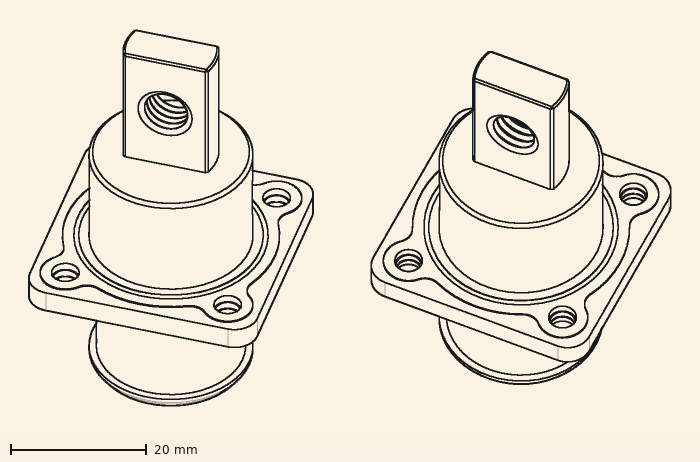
import cadquery as cq
import math

TOLERANCE = 0.005

TOTAL_HEIGHT = 60.1
BEAD_HEIGHT = 2.3
FLANGE_BOTTOM = 20.2
FLANGE_TOP = 23.7
PAD_TOP = 23.85
RING_TOP = 24.2
BODY_TOP = 40.15

SPIGOT_RADIUS = 22.0 / 2
BEAD_RADIUS = 12.1
BEAD_BOTTOM_RADIUS = 21.65 / 2
BEAD_LOWER_ROUND_MID = (11.05, 0.1)
BEAD_TAPER_BOTTOM = (11.25, 0.35)
BEAD_TAPER_TOP = (11.8, 1.15)
BEAD_UPPER_ROUND_MID = (11.95, 1.4)
BEAD_STRAIGHT_BOTTOM = 1.7
BODY_END_RADIUS = 12.1
BODY_WAIST_RADIUS = 24.0 / 2
BODY_CHAMFER = 0.55
RING_OUTER_RADIUS = 14.3
RING_INNER_RADIUS = 13.6

FLANGE_SIDE = 35.0
FLANGE_CORNER_RADIUS = 3.5
PAD_RADIUS = 16.0
PAD_LOBE_RADIUS = 3.7
PAD_BLEND_RADIUS = 2.4
HOLE_SPACING = 24.95
HOLE_DIAMETER = 3.7
HOLE_MOUTH_DIAMETER = 4.0
HOLE_MOUTH_DEPTH = 1.2

BLADE_WIDTH = 14.05
BLADE_THICKNESS = 6.0
BLADE_END_RADIUS = 16.0 / 2
BLADE_EDGE_CHAMFER = 0.3

THREAD_CENTER_Z = 50.1
THREAD_MINOR_RADIUS = 3.3
THREAD_MAJOR_RADIUS = 3.95
THREAD_MOUTH_RADIUS = 4.15
THREAD_MOUTH_DEPTH = 0.5
THREAD_PITCH = 1.25
THREAD_GROOVE_COUNT = 4
THREAD_GROOVE_HALF_WIDTH = 0.55


def disc(radius, bottom, top):
    return cq.Workplane("XY").workplane(offset=bottom).circle(radius).extrude(top - bottom)


def make_lower_spigot():
    """Plain spigot ending in a bead with a rounded, tapered lower edge."""
    return (
        cq.Workplane("XZ")
        .lineTo(BEAD_BOTTOM_RADIUS, 0)
        .threePointArc(BEAD_LOWER_ROUND_MID, BEAD_TAPER_BOTTOM)
        .lineTo(*BEAD_TAPER_TOP)
        .threePointArc(BEAD_UPPER_ROUND_MID, (BEAD_RADIUS, BEAD_STRAIGHT_BOTTOM))
        .lineTo(BEAD_RADIUS, BEAD_HEIGHT)
        .lineTo(SPIGOT_RADIUS, BEAD_HEIGHT)
        .lineTo(SPIGOT_RADIUS, FLANGE_BOTTOM)
        .lineTo(0, FLANGE_BOTTOM)
        .close()
        .revolve(360, (0, 0, 0), (0, 1, 0))
    )


def make_upper_body():
    """Slightly waisted barrel with a chamfered top edge."""
    side_top = BODY_TOP - BODY_CHAMFER
    waist_height = (PAD_TOP + side_top) / 2
    return (
        cq.Workplane("XZ")
        .moveTo(0, FLANGE_BOTTOM)
        .lineTo(BODY_END_RADIUS, FLANGE_BOTTOM)
        .lineTo(BODY_END_RADIUS, PAD_TOP)
        .threePointArc((BODY_WAIST_RADIUS, waist_height), (BODY_END_RADIUS, side_top))
        .lineTo(BODY_END_RADIUS - BODY_CHAMFER, BODY_TOP)
        .lineTo(0, BODY_TOP)
        .close()
        .revolve(360, (0, 0, 0), (0, 1, 0))
    )


def make_ring():
    """Sealing ring with a rounded crest, rooted in the flange."""
    crest_radius = (RING_INNER_RADIUS + RING_OUTER_RADIUS) / 2
    return (
        cq.Workplane("XZ")
        .moveTo(RING_INNER_RADIUS, FLANGE_BOTTOM)
        .lineTo(RING_INNER_RADIUS, PAD_TOP)
        .threePointArc((crest_radius, RING_TOP), (RING_OUTER_RADIUS, PAD_TOP))
        .lineTo(RING_OUTER_RADIUS, FLANGE_BOTTOM)
        .close()
        .revolve(360, (0, 0, 0), (0, 1, 0))
    )


def make_flange():
    """Square plate with a lobed pad, a rounded raised ring."""
    plate = (
        cq.Workplane("XY")
        .workplane(offset=FLANGE_BOTTOM)
        .rect(FLANGE_SIDE, FLANGE_SIDE)
        .extrude(FLANGE_TOP - FLANGE_BOTTOM)
        .edges("|Z")
        .fillet(FLANGE_CORNER_RADIUS)
    )
    lobes = corner_cylinders(2 * PAD_LOBE_RADIUS, FLANGE_BOTTOM, PAD_TOP)
    pad = disc(PAD_RADIUS, FLANGE_BOTTOM, PAD_TOP).union(lobes)
    notches = pad.edges("|Z").filter(is_notch_edge)
    pad = notches.fillet(PAD_BLEND_RADIUS)
    return plate.union(pad).union(make_ring())


def is_notch_edge(edge):
    """True where the pad disc meets a corner lobe."""
    center = edge.Center()
    on_disc = abs(math.hypot(center.x, center.y) - PAD_RADIUS) < TOLERANCE
    return on_disc and abs(center.y) > TOLERANCE


def corner_cylinders(diameter, bottom, top):
    """Four upright cylinders on the corner hole centers."""
    return (
        cq.Workplane("XY")
        .workplane(offset=bottom)
        .rect(HOLE_SPACING, HOLE_SPACING, forConstruction=True)
        .vertices()
        .circle(diameter / 2)
        .extrude(top - bottom)
    )


def make_blade():
    """Flat blade with arched narrow sides and chamfered edges."""
    half_width = BLADE_WIDTH / 2
    half_thickness = BLADE_THICKNESS / 2
    arch = BLADE_END_RADIUS - math.sqrt(BLADE_END_RADIUS**2 - half_thickness**2)
    corner_x = half_width - arch
    return (
        cq.Workplane("XY")
        .workplane(offset=FLANGE_TOP)
        .moveTo(-corner_x, -half_thickness)
        .lineTo(corner_x, -half_thickness)
        .threePointArc((half_width, 0), (corner_x, half_thickness))
        .lineTo(-corner_x, half_thickness)
        .threePointArc((-half_width, 0), (-corner_x, -half_thickness))
        .close()
        .extrude(TOTAL_HEIGHT - FLANGE_TOP)
        .edges("|Z or >Z")
        .chamfer(BLADE_EDGE_CHAMFER)
    )


def make_threaded_hole():
    """Cutter along Y: countersunk at both ends, V-grooves between."""
    half_length = BLADE_THICKNESS / 2
    profile = (
        cq.Workplane("XY")
        .moveTo(0, -half_length)
        .lineTo(THREAD_MOUTH_RADIUS, -half_length)
        .lineTo(THREAD_MINOR_RADIUS, THREAD_MOUTH_DEPTH - half_length)
    )
    for index in range(THREAD_GROOVE_COUNT):
        groove_y = (index - (THREAD_GROOVE_COUNT - 1) / 2) * THREAD_PITCH
        profile = (
            profile.lineTo(THREAD_MINOR_RADIUS, groove_y - THREAD_GROOVE_HALF_WIDTH)
            .lineTo(THREAD_MAJOR_RADIUS, groove_y)
            .lineTo(THREAD_MINOR_RADIUS, groove_y + THREAD_GROOVE_HALF_WIDTH)
        )
    return (
        profile.lineTo(THREAD_MINOR_RADIUS, half_length - THREAD_MOUTH_DEPTH)
        .lineTo(THREAD_MOUTH_RADIUS, half_length)
        .lineTo(0, half_length)
        .close()
        .revolve(360, (0, 0, 0), (0, 1, 0))
        .translate((0, 0, THREAD_CENTER_Z))
    )


result = (
    make_lower_spigot()
    .union(make_flange())
    .union(make_upper_body())
    .union(make_blade())
    .cut(make_threaded_hole())
    .cut(corner_cylinders(HOLE_DIAMETER, FLANGE_BOTTOM, PAD_TOP))
    .cut(corner_cylinders(HOLE_MOUTH_DIAMETER, PAD_TOP - HOLE_MOUTH_DEPTH, PAD_TOP))
    .cut(corner_cylinders(HOLE_MOUTH_DIAMETER, FLANGE_BOTTOM, FLANGE_BOTTOM + HOLE_MOUTH_DEPTH))
)